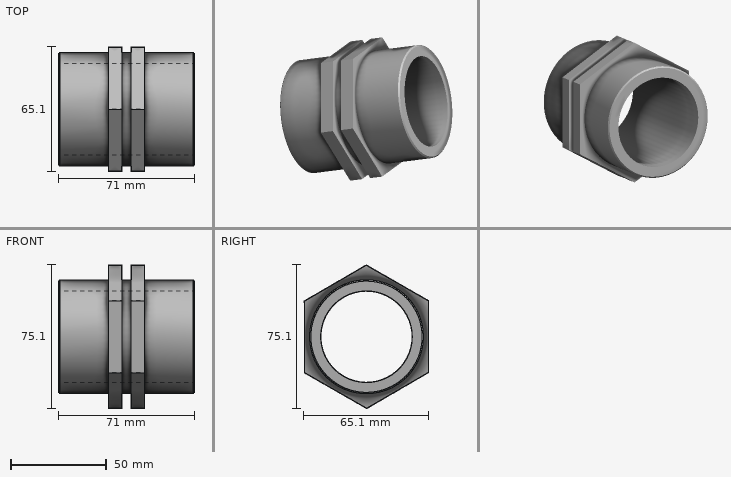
import cadquery as cq
import math

body_length = 71.0
body_diameter = 59.61
bore_diameter = 47.69
end_chamfer = 0.7

hex_sides = 6
hex_across_flats = 65.0
hex_thickness = 7.1
hex_gap = 4.8
corner_up_angle = 90.0
hex_tilt = 0.17

hex_across_corners = hex_across_flats / math.cos(math.pi / hex_sides)


def make_cylinder(diameter):
    """Cylinder along X, as long as the body and centred on the origin."""
    return cq.Workplane("YZ").circle(diameter / 2).extrude(body_length / 2, both=True)


def make_body():
    """Solid body with both end rims chamfered."""
    return make_cylinder(body_diameter).faces("<X or >X").edges().chamfer(end_chamfer)


def make_hex_flange(start_x):
    """Hexagonal plate with a corner up, reaching from start_x towards +X."""
    return (
        cq.Workplane("YZ", origin=(start_x, 0, 0))
        .transformed(rotate=(0, 0, corner_up_angle + hex_tilt))
        .polygon(hex_sides, hex_across_corners)
        .extrude(hex_thickness)
    )


result = make_body()
for flange_start in (-hex_gap / 2 - hex_thickness, hex_gap / 2):
    result = result.union(make_hex_flange(flange_start))

result = result.cut(make_cylinder(bore_diameter))